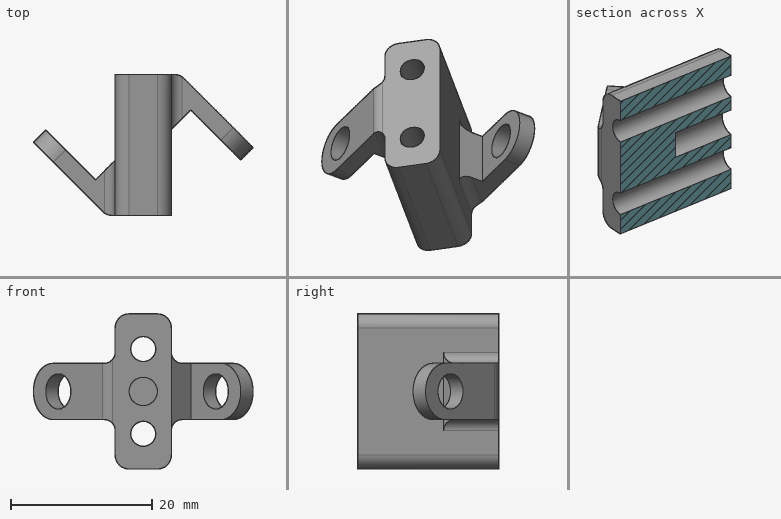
import cadquery as cq
import math

block_width = 8.0
block_depth = 20.0
block_height = 22.0
block_corner_radius = 2.0

through_hole_diameter = 3.5
through_hole_offset = 6.0
blind_hole_diameter = 4.0
blind_hole_depth = block_depth / 2

arm_angle = math.radians(45)
arm_height = 8.0
arm_thickness = 2.5
arm_free_length = 10.0
arm_tip_x = 15.57
bend_offset = 1.19
bend_radius = 2.0
root_fillet_radius = 1.5

pin_hole_diameter = 5.0
pin_hole_setback = 1.0

side_x = -block_width / 2
front_y = -block_depth / 2
bend_x = side_x - bend_offset
arm_length = (arm_tip_x + bend_x) / math.cos(arm_angle)
gusset_distance = arm_length - arm_free_length
tip_radius = arm_height / 2
pin_distance = arm_length - tip_radius - pin_hole_setback


def arm_point(along, inward):
    """Plan position measured from the bend corner, along the arm and into its thickness."""
    x = bend_x - along * math.cos(arm_angle) + inward * math.sin(arm_angle)
    y = front_y + along * math.sin(arm_angle) + inward * math.cos(arm_angle)
    return (x, y)


def make_block():
    block = cq.Workplane("XY").box(block_width, block_depth, block_height)
    return block.edges("|Y").fillet(block_corner_radius)


def arm_plan(height):
    """The arm and its gusset as a prism along Z, running in to the block's mid plane."""
    inner_corner = arm_point(gusset_distance, arm_thickness)
    gusset_end_y = inner_corner[1] - inner_corner[0] / math.tan(arm_angle)
    outline = [
        (0, front_y),
        arm_point(0, 0),
        arm_point(arm_length, 0),
        arm_point(arm_length, arm_thickness),
        inner_corner,
        (0, gusset_end_y),
    ]
    plan = cq.Workplane("XY").polyline(outline).close().extrude(height / 2, both=True)
    bend_edge = cq.selectors.NearestToPointSelector((bend_x, front_y, 0))
    return plan.edges("|Z").edges(bend_edge).fillet(bend_radius)


def arm_side_profile():
    """Straight arm height that flares in concave fillets to meet the block side."""
    half_height = arm_height / 2
    flare_height = half_height + root_fillet_radius
    flare_x = side_x - root_fillet_radius
    arc_inset = root_fillet_radius * math.cos(math.radians(45))
    arc_mid_x = flare_x + arc_inset
    arc_mid_z = flare_height - arc_inset
    return (
        cq.Workplane("XZ")
        .moveTo(0, -flare_height)
        .lineTo(side_x, -flare_height)
        .threePointArc((arc_mid_x, -arc_mid_z), (flare_x, -half_height))
        .lineTo(-arm_tip_x, -half_height)
        .lineTo(-arm_tip_x, half_height)
        .lineTo(flare_x, half_height)
        .threePointArc((arc_mid_x, arc_mid_z), (side_x, flare_height))
        .lineTo(0, flare_height)
        .close()
        .extrude(block_depth / 2, both=True)
    )


def make_arm():
    arm = arm_plan(arm_height + 2 * root_fillet_radius).intersect(arm_side_profile())

    outer_face = cq.Plane(
        origin=(bend_x, front_y, 0),
        xDir=(-math.cos(arm_angle), math.sin(arm_angle), 0),
        normal=(math.sin(arm_angle), math.cos(arm_angle), 0),
    )
    tip_centre = arm_length - tip_radius
    tip_square = (
        cq.Workplane(outer_face)
        .center(tip_centre + tip_radius / 2, 0)
        .rect(tip_radius, arm_height)
        .extrude(arm_thickness)
    )
    tip_disc = cq.Workplane(outer_face).center(tip_centre, 0).circle(tip_radius).extrude(arm_thickness)
    pin_hole = (
        cq.Workplane(outer_face)
        .center(pin_distance, 0)
        .circle(pin_hole_diameter / 2)
        .extrude(arm_thickness)
    )
    return arm.cut(tip_square.cut(tip_disc)).cut(pin_hole)


def drill_block(body):
    front = cq.Workplane("XZ", origin=(0, front_y, 0))
    through_holes = (
        front.pushPoints([(0, -through_hole_offset), (0, through_hole_offset)])
        .circle(through_hole_diameter / 2)
        .extrude(-block_depth)
    )
    blind_hole = front.circle(blind_hole_diameter / 2).extrude(-blind_hole_depth)
    return body.cut(through_holes).cut(blind_hole)


body = make_block()
arm = make_arm()
for turn in (0, 180):
    body = body.union(arm.rotate((0, 0, 0), (0, 0, 1), turn))

result = drill_block(body)